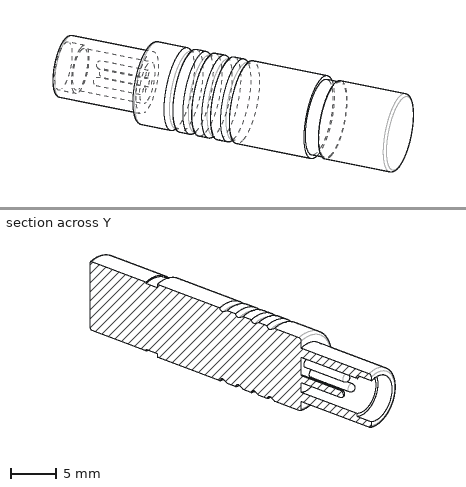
import cadquery as cq
import math

length = 40.0
grip_diameter = 9.4
grip_radius = grip_diameter / 2

tube_radius = 3.5
tube_length = 9.95
tube_edge_round = 0.3

grip_end = 30.4
grip_edge_round = 0.3
groove_count = 4
groove_pitch = 2.25
last_groove_end = 21.5
groove_width = 1.05
groove_depth = 0.34

neck_radius = 4.3
neck_end = 32.0
barrel_radius = 4.45
barrel_edge_round = 0.3

mouth_radius = 2.7
mouth_depth = 2.0
bore_radius = 2.35
floor_depth = tube_length

pin_count = 3
first_pin_angle = math.pi / 2
pin_radius = 0.5
pin_circle_radius = 1.1
pin_length = 6.0
pin_root_length = pin_radius


def cylinder(start, end, radius):
    """Solid cylinder on the X axis between two X positions."""
    return cq.Workplane("YZ").workplane(offset=start).circle(radius).extrude(end - start)


def make_body():
    """Tube, grip, neck and barrel joined end to end."""
    tube = cylinder(0, tube_length, tube_radius).faces("<X").edges().fillet(tube_edge_round)
    grip = cylinder(tube_length, grip_end, grip_radius).faces("<X").edges().fillet(grip_edge_round)
    neck = cylinder(grip_end, neck_end, neck_radius)
    barrel = cylinder(neck_end, length, barrel_radius).faces(">X").edges().fillet(barrel_edge_round)
    return tube.union(grip).union(neck).union(barrel)


def make_groove(end):
    """Ring cutter: a sloped flank runs tangent into a round bottom that rises to a square edge."""
    start = end - groove_width
    arc_center = end - groove_depth
    flank_angle = math.asin(groove_depth / (arc_center - start))
    flank_foot = (
        arc_center - groove_depth * math.sin(flank_angle),
        grip_radius - groove_depth * math.cos(flank_angle),
    )
    return (
        cq.Workplane("XY")
        .moveTo(start, grip_radius)
        .lineTo(*flank_foot)
        .threePointArc((arc_center, grip_radius - groove_depth), (end, grip_radius))
        .lineTo(end, grip_radius + groove_depth)
        .lineTo(start, grip_radius + groove_depth)
        .close()
        .revolve(360, (0, 0, 0), (1, 0, 0))
    )


def make_socket():
    """Stepped round cutter that opens at the front end of the tube."""
    return cylinder(0, floor_depth, bore_radius).union(cylinder(0, mouth_depth, mouth_radius))


def make_pin(angle):
    """Round pin with a hemispherical tip; the angle is measured from +Y toward +Z."""
    y = pin_circle_radius * math.cos(angle)
    z = pin_circle_radius * math.sin(angle)
    tip_center = floor_depth - pin_length + pin_radius
    shaft = cylinder(tip_center, floor_depth + pin_root_length, pin_radius)
    tip = cq.Workplane("XY").sphere(pin_radius).translate((tip_center, 0, 0))
    return shaft.union(tip).translate((0, y, z))


result = make_body()
for index in range(groove_count):
    result = result.cut(make_groove(last_groove_end - index * groove_pitch))
result = result.cut(make_socket())
for index in range(pin_count):
    result = result.union(make_pin(first_pin_angle + index * 2 * math.pi / pin_count))